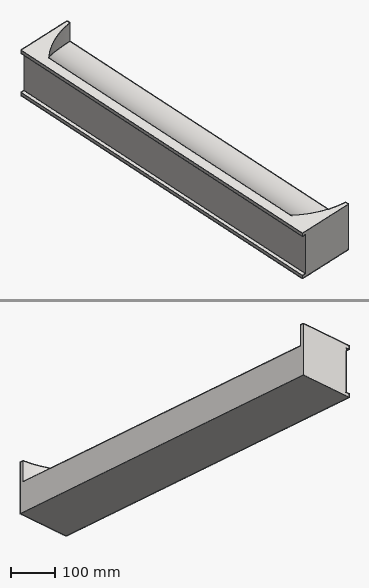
import cadquery as cq
import math

LENGTH = 901.7
DEPTH = 146.05
HEIGHT = 133.35

FLANGE_HEIGHT = 9.525
GROOVE_DEPTH = 9.525

FRONT_LIP = 25.4
BACK_WALL = 9.525
FRONT_WALL = 63.5
CURVE_RADIUS = 212.725
RECESS_DROP = FRONT_WALL - BACK_WALL


def arc_midpoint(start, end, radius):
    """Middle of the short arc that bulges to the right of the path from start to end."""
    run = end[0] - start[0]
    rise = end[1] - start[1]
    chord = math.hypot(run, rise)
    sagitta = radius - math.sqrt(radius**2 - (chord / 2) ** 2)
    return (
        (start[0] + end[0]) / 2 + sagitta * rise / chord,
        (start[1] + end[1]) / 2 - sagitta * run / chord,
    )


def make_body():
    """Full-length block with a groove along its front face."""
    block = cq.Workplane("XY").box(LENGTH, DEPTH, HEIGHT, centered=False)
    groove_height = HEIGHT - 2 * FLANGE_HEIGHT
    groove = (
        cq.Workplane("XY")
        .box(LENGTH, GROOVE_DEPTH, groove_height, centered=False)
        .translate((0, 0, FLANGE_HEIGHT))
    )
    return block.cut(groove)


def make_recess():
    """Space bounded by upright curved end walls and a curved floor falling to the back."""
    left_front = (FRONT_WALL, FRONT_LIP)
    left_back = (BACK_WALL, DEPTH)
    right_front = (LENGTH - FRONT_WALL, FRONT_LIP)
    right_back = (LENGTH - BACK_WALL, DEPTH)
    plan = (
        cq.Workplane("XY")
        .moveTo(*left_front)
        .lineTo(*right_front)
        .threePointArc(arc_midpoint(right_front, right_back, CURVE_RADIUS), right_back)
        .lineTo(*left_back)
        .threePointArc(arc_midpoint(left_back, left_front, CURVE_RADIUS), left_front)
        .close()
        .extrude(HEIGHT)
    )
    lip = (FRONT_LIP, HEIGHT)
    floor_back = (DEPTH, HEIGHT - RECESS_DROP)
    section = (
        cq.Workplane("YZ")
        .moveTo(*lip)
        .threePointArc(arc_midpoint(lip, floor_back, CURVE_RADIUS), floor_back)
        .lineTo(DEPTH, HEIGHT)
        .close()
        .extrude(LENGTH)
    )
    return plan.intersect(section)


result = make_body().cut(make_recess())